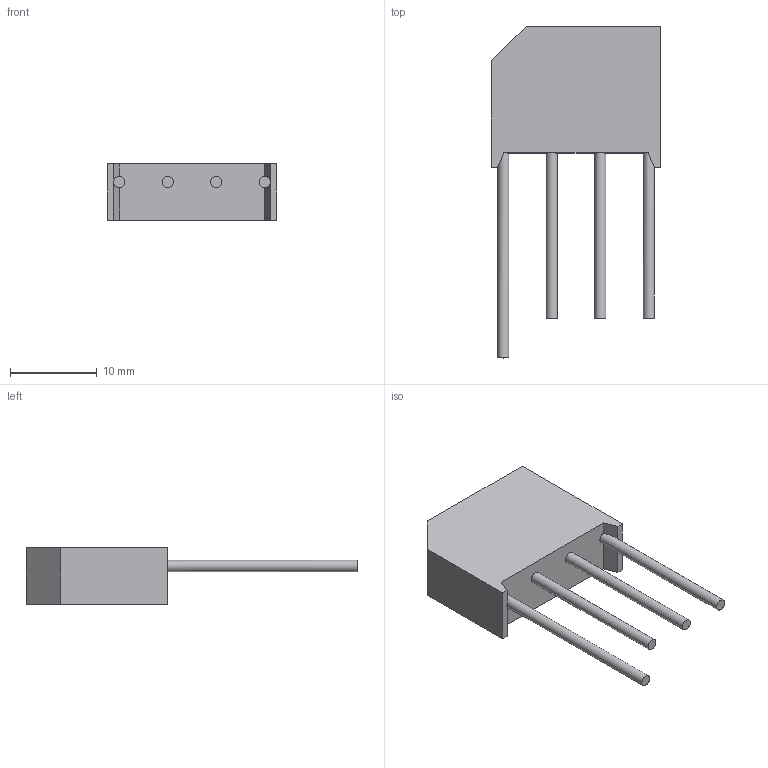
import cadquery as cq

body_width = 19.5
body_length = 16.3
body_thickness = 6.5
corner_chamfer = 4.0

recess_depth = 1.65
foot_tip_width = 0.7
foot_root_width = 1.4

lead_diameter = 1.3
lead_pitch = 5.6
lead_count = 4
lead_height = 4.4
long_lead_reach = 22.0
short_lead_reach = 17.4

half_width = body_width / 2


def make_body():
    """Block with one chamfered rear corner and a flared recess on the lead side."""
    return (
        cq.Workplane("XY")
        .moveTo(-half_width, 0)
        .lineTo(-half_width + foot_tip_width, 0)
        .lineTo(-half_width + foot_root_width, recess_depth)
        .lineTo(half_width - foot_root_width, recess_depth)
        .lineTo(half_width - foot_tip_width, 0)
        .lineTo(half_width, 0)
        .lineTo(half_width, body_length)
        .lineTo(-half_width + corner_chamfer, body_length)
        .lineTo(-half_width, body_length - corner_chamfer)
        .close()
        .extrude(body_thickness)
    )


def make_lead(x, reach):
    """Round lead from inside the body out to `reach` past the feet along -Y."""
    embed_y = 2 * recess_depth
    return (
        cq.Workplane("XZ", origin=(x, embed_y, lead_height))
        .circle(lead_diameter / 2)
        .extrude(embed_y + reach)
    )


result = make_body()
for index in range(lead_count):
    lead_x = (index - (lead_count - 1) / 2) * lead_pitch
    lead_reach = long_lead_reach if index == 0 else short_lead_reach
    result = result.union(make_lead(lead_x, lead_reach))